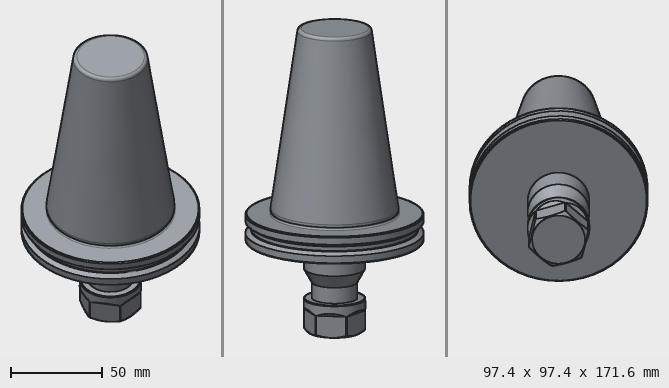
import cadquery as cq
import math

total_height = 171.6
taper_on_diameter = 7 / 24
taper_base_radius = 35.0
taper_base_z = 69.8
taper_top_radius = taper_base_radius - (total_height - taper_base_z) * taper_on_diameter / 2
top_fillet = 2.0

relief_start_z = 68.1
relief_middle_z = 67.5
relief_radius = 34.7
relief_foot_radius = 35.5

flange_radius = 48.7
flange_bottom_z = 51.1
flange_top_z = 66.8
flange_chamfer = 0.7
groove_radius = 45.5
groove_centre_z = 59.0
groove_mouth_width = 6.5
groove_floor_width = 3.0
groove_fillet = 0.5

stem_radius = 16.8
stem_shoulder_z = 35.7
neck_radius = 12.5
neck_top_z = 28.0

nut_radius = 16.9
nut_height = 19.0
collar_chamfer = 0.5
across_flats = 29.7
flats_top_z = 12.4
nut_bottom_radius = 14.5
nut_bottom_chamfer_height = 1.5


def revolved(profile):
    """Revolve an (r, z) outline about the Z axis."""
    return cq.Workplane("XZ").polyline(profile).close().revolve(360, (0, 0), (0, 1))


def make_taper():
    taper = (
        cq.Workplane("XZ")
        .moveTo(0, flange_bottom_z)
        .lineTo(relief_foot_radius, flange_bottom_z)
        .lineTo(relief_foot_radius, flange_top_z)
        .threePointArc((relief_radius, relief_middle_z), (taper_base_radius, relief_start_z))
        .lineTo(taper_base_radius, taper_base_z)
        .lineTo(taper_top_radius, total_height)
        .lineTo(0, total_height)
        .close()
        .revolve(360, (0, 0), (0, 1))
    )
    return taper.faces(">Z").edges().fillet(top_fillet)


def make_flange():
    flange_height = flange_top_z - flange_bottom_z
    flange = cq.Workplane("XY", origin=(0, 0, flange_bottom_z)).circle(flange_radius).extrude(flange_height)
    flange = flange.faces("<Z or >Z").edges().chamfer(flange_chamfer)
    groove = revolved([
        (groove_radius, groove_centre_z - groove_floor_width / 2),
        (flange_radius, groove_centre_z - groove_mouth_width / 2),
        (flange_radius, groove_centre_z + groove_mouth_width / 2),
        (groove_radius, groove_centre_z + groove_floor_width / 2),
    ])
    floor_edges = cq.selectors.RadiusNthSelector(0)
    groove = groove.edges(floor_edges).fillet(groove_fillet)
    return flange.cut(groove)


def make_stem():
    return revolved([
        (0, 0),
        (neck_radius, 0),
        (neck_radius, neck_top_z),
        (stem_radius, stem_shoulder_z),
        (stem_radius, flange_bottom_z),
        (0, flange_bottom_z),
    ])


def make_nut():
    nut = revolved([
        (0, 0),
        (nut_bottom_radius, 0),
        (nut_radius, nut_bottom_chamfer_height),
        (nut_radius, nut_height - collar_chamfer),
        (nut_radius - collar_chamfer, nut_height),
        (0, nut_height),
    ])
    flare_height = nut_height - flats_top_z
    corner_factor = 1 / math.cos(math.radians(30))
    hexagon_diameter = across_flats * corner_factor
    flared_diameter = (across_flats + 2 * flare_height) * corner_factor
    hexagon = cq.Workplane("XY").polygon(6, hexagon_diameter).extrude(flats_top_z)
    flare = (
        cq.Workplane("XY", origin=(0, 0, flats_top_z))
        .polygon(6, hexagon_diameter)
        .workplane(offset=flare_height)
        .polygon(6, flared_diameter)
        .loft(ruled=True)
    )
    return nut.intersect(hexagon.union(flare))


result = make_taper().union(make_flange()).union(make_stem()).union(make_nut())